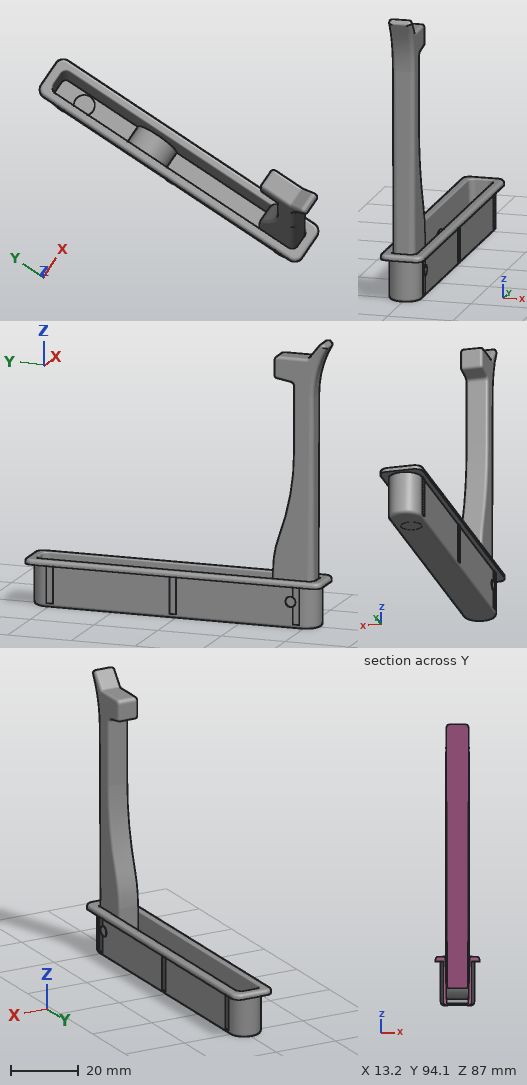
import cadquery as cq
import math

housing_length = 89.9
housing_width = 10.0
housing_height = 14.6
housing_corner_radius = 4.9
housing_bottom_fillet = 1.0
flange_overhang = 1.6
flange_thickness = 1.6
flange_corner_radius = 2.6
flange_top_fillet = 1.0

floor_thickness = 0.7
cavity_length = 87.1
cavity_width = 7.6
cavity_corner_radius = 2.0
cavity_draft = 1.5
cavity_mouth_fillet = 0.5

rib_count = 3
rib_width = 2.1
rib_projection = 0.2
rib_spacing = 38.65
rib_bottom_gap = 1.3

rest_radius = 7.0
rest_y = 10.1

disc_diameter = 6.2
disc_thickness = 0.4
disc_y = 33.8

pin_diameter = 3.2
pivot_y = -37.0
pivot_z = -6.4

handle_thickness = 6.9
handle_top = 72.4
blade_half_depth = 6.4
shank_front_offset = 0.2
belly_top_z = 2.3
belly_convex_radius = 30.0
belly_concave_radius = 74.95
head_front_y = -31.0
head_bottom_z = 60.9
head_bottom_slope = 10.0
head_top_z = 67.6
lip_root_y = -41.7
lip_arc_radius = 30.0
lip_arc_start_z = 55.9
lip_end_z = 71.3
lip_end_flat = 1.0

throat_fillet = 1.1
head_top_fillet = 1.3
head_bottom_fillet = 0.9
lip_root_fillet = 0.9
lip_front_fillet = 0.9
lip_end_fillet = 0.6
handle_side_fillet = 0.9
back_rounding_at_lip = 1.2
back_rounding_at_flange = 1.8
notch_margin = 0.9
notch_overrun = 5.0

floor_z = floor_thickness - housing_height
ribbed_width = housing_width + 2 * rib_projection
back_y = pivot_y - blade_half_depth
belly_y = pivot_y + blade_half_depth
shank_front_y = pivot_y - shank_front_offset
handle_bottom_z = pivot_z - blade_half_depth
lip_arc_centre_y = back_y - lip_arc_radius
lip_arc_angle = math.asin((lip_end_z - lip_arc_start_z) / lip_arc_radius)


def x_cylinder(diameter, length, y, z):
    """Cylinder along X, centred on X = 0."""
    return (
        cq.Workplane("YZ", origin=(-length / 2, y, z))
        .circle(diameter / 2)
        .extrude(length)
    )


def rounded_block(width, length, radius, bottom_z, top_z):
    """Block centred on the Z axis with rounded upright edges."""
    return (
        cq.Workplane("XY", origin=(0, 0, bottom_z))
        .rect(width, length)
        .extrude(top_z - bottom_z)
        .edges("|Z")
        .fillet(radius)
    )


def make_cavity():
    """Hollow of the tray, narrowing from the mouth down to the floor."""
    mouth = cq.Sketch().rect(cavity_width, cavity_length).vertices().fillet(cavity_corner_radius)
    return cq.Workplane("XY").placeSketch(mouth).extrude(floor_z, taper=cavity_draft)


def make_ribs():
    """Bars across the housing whose ends stand out as ribs on its long sides."""
    rib_bottom_z = rib_bottom_gap - housing_height
    return (
        cq.Workplane("XY", origin=(0, 0, rib_bottom_z))
        .rarray(0.9, rib_spacing, 1, rib_count)
        .rect(ribbed_width, rib_width)
        .extrude(-flange_thickness / 2 - rib_bottom_z)
    )


def make_disc():
    return (
        cq.Workplane("XY", origin=(0, disc_y, floor_z - disc_thickness))
        .circle(disc_diameter / 2)
        .extrude(disc_thickness)
    )


def make_pin():
    """Pin whose ends are flush with the ribs."""
    return x_cylinder(pin_diameter, ribbed_width, pivot_y, pivot_z)


def make_housing():
    tray = rounded_block(housing_width, housing_length, housing_corner_radius, -housing_height, 0)
    tray = tray.faces("<Z").edges().fillet(housing_bottom_fillet)
    flange = rounded_block(
        housing_width + 2 * flange_overhang,
        housing_length + 2 * flange_overhang,
        flange_corner_radius,
        -flange_thickness,
        0,
    )
    flange = flange.faces(">Z").edges().fillet(flange_top_fillet)
    cavity = make_cavity()
    shell = tray.union(flange).union(make_ribs()).cut(cavity)
    mouth = shell.faces(">Z").val().innerWires()[0]
    shell = shell.newObject(mouth.Edges()).fillet(cavity_mouth_fillet)
    rest = x_cylinder(2 * rest_radius, cavity_width, rest_y, floor_z).intersect(cavity)
    return shell.union(rest).cut(make_pin()).cut(make_disc())


def lip_back_point(angle):
    """Point on the arc at the back of the lip, by its angle above the arc start."""
    return (
        lip_arc_centre_y + lip_arc_radius * math.cos(angle),
        lip_arc_start_z + lip_arc_radius * math.sin(angle),
    )


def make_handle_blank():
    """Handle outline extruded across X, with the corners of the outline rounded."""
    radius_sum = belly_convex_radius + belly_concave_radius
    belly_angle = math.acos(1 - (belly_y - shank_front_y) / radius_sum)
    belly_join = (
        belly_y - belly_convex_radius * (1 - math.cos(belly_angle)),
        belly_top_z + belly_convex_radius * math.sin(belly_angle),
    )
    shank_start = (shank_front_y, belly_top_z + radius_sum * math.sin(belly_angle))
    head_drop = (head_front_y - shank_front_y) * math.tan(math.radians(head_bottom_slope))
    throat = (shank_front_y, head_bottom_z - head_drop)
    head_bottom = (head_front_y, head_bottom_z)
    head_top = (head_front_y, head_top_z)
    lip_root = (lip_root_y, head_top_z)
    lip_end = lip_back_point(lip_arc_angle)
    lip_tip = (lip_end[0] + lip_end_flat, handle_top)
    lip_front = (lip_tip[0] + lip_end_flat, handle_top)
    blank = (
        cq.Workplane("YZ", origin=(-handle_thickness / 2, 0, 0))
        .moveTo(belly_y, pivot_z)
        .lineTo(belly_y, belly_top_z)
        .tangentArcPoint(belly_join, relative=False)
        .tangentArcPoint(shank_start, relative=False)
        .lineTo(*throat)
        .lineTo(*head_bottom)
        .lineTo(*head_top)
        .lineTo(*lip_root)
        .lineTo(*lip_front)
        .lineTo(*lip_tip)
        .lineTo(*lip_end)
        .threePointArc(lip_back_point(lip_arc_angle / 2), (back_y, lip_arc_start_z))
        .lineTo(back_y, pivot_z)
        .threePointArc((pivot_y, handle_bottom_z), (belly_y, pivot_z))
        .close()
        .extrude(handle_thickness)
    )
    corner_fillets = [
        (throat, throat_fillet),
        (head_bottom, head_bottom_fillet),
        (head_top, head_top_fillet),
        (lip_root, lip_root_fillet),
        (lip_front, lip_front_fillet),
        (lip_tip, lip_end_fillet),
        (lip_end, lip_end_fillet),
    ]
    for corner, radius in corner_fillets:
        blank = blank.edges(cq.NearestToPointSelector((0, *corner))).fillet(radius)
    return blank


def notch_section(radius, z):
    """Section of a cutter that rounds the back edge on the +X side, at height z."""
    side_x = handle_thickness / 2
    arc_inset = radius * (1 - math.sqrt(0.5))
    return (
        cq.Workplane("XY", origin=(0, 0, z))
        .moveTo(side_x, back_y + radius)
        .threePointArc((side_x - arc_inset, back_y + arc_inset), (side_x - radius, back_y))
        .lineTo(side_x - radius, back_y - notch_margin)
        .lineTo(side_x + notch_margin, back_y - notch_margin)
        .lineTo(side_x + notch_margin, back_y + radius)
        .close()
    )


def make_back_notches():
    """Cutters for the back edges: the rounding grows down the shank and is even along the lip."""
    growth = (back_rounding_at_flange - back_rounding_at_lip) / lip_arc_start_z
    bottom_radius = back_rounding_at_flange - growth * handle_bottom_z
    bottom_wire = notch_section(bottom_radius, handle_bottom_z).wire().val()
    top_wire = notch_section(back_rounding_at_lip, lip_arc_start_z).wire().val()
    shank_notch = cq.Workplane(cq.Solid.makeLoft([bottom_wire, top_wire], True))
    lip_notch = notch_section(back_rounding_at_lip, lip_arc_start_z).revolve(
        math.degrees(lip_arc_angle) + notch_overrun,
        (0, lip_arc_centre_y, 0),
        (1, lip_arc_centre_y, 0),
    )
    return [shank_notch, lip_notch]


def make_handle():
    handle = make_handle_blank().faces("<X or >X").edges().fillet(handle_side_fillet)
    for notch in make_back_notches():
        handle = handle.cut(notch).cut(notch.mirror("YZ"))
    return handle.cut(make_pin())


housing = make_housing()
handle = make_handle()
pin = make_pin()
disc = make_disc()
result = cq.Compound.makeCompound([housing.val(), handle.val(), pin.val(), disc.val()])